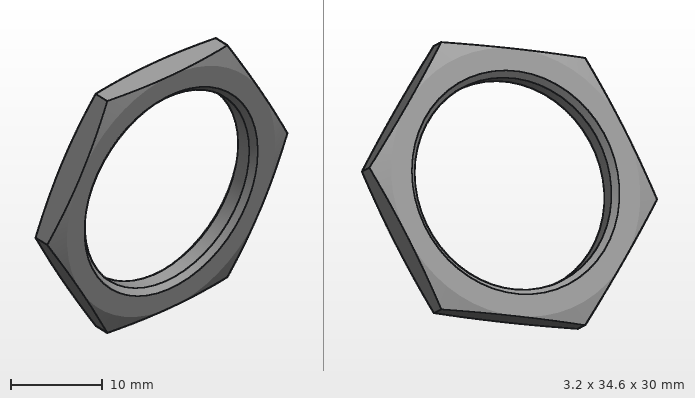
import cadquery as cq
import math

side_count = 6
across_flats = 30.0
thickness = 3.2
bore_diameter = 23.675
bore_mouth_diameter = 25.0
bore_chamfer_angle = 45.0
corner_bevel_angle = 15.0

flat_radius = across_flats / 2
corner_radius = flat_radius / math.cos(math.pi / side_count)
half_thickness = thickness / 2


def revolve_about_x(profile):
    """Revolve a closed outline of (x, radius) points about the X axis."""
    return cq.Workplane("XY").polyline(profile).close().revolve(360, (0, 0, 0), (1, 0, 0))


def hexagon_body():
    """Hexagonal plate with two corners on the Y axis and flats facing +Z and -Z."""
    return (
        cq.Workplane("YZ")
        .polygon(side_count, 2 * corner_radius)
        .extrude(half_thickness, both=True)
    )


def bevel_envelope():
    """Double cone that touches the flats at both faces and bevels the six corners."""
    bevel_depth = (corner_radius - flat_radius) * math.tan(math.radians(corner_bevel_angle))
    rim_half_width = half_thickness - bevel_depth
    profile = [
        (-half_thickness, 0),
        (-half_thickness, flat_radius),
        (-rim_half_width, corner_radius),
        (rim_half_width, corner_radius),
        (half_thickness, flat_radius),
        (half_thickness, 0),
    ]
    return revolve_about_x(profile)


def chamfered_bore():
    """Through bore that widens conically at both faces."""
    bore_radius = bore_diameter / 2
    mouth_radius = bore_mouth_diameter / 2
    chamfer_depth = (mouth_radius - bore_radius) / math.tan(math.radians(bore_chamfer_angle))
    straight_half_length = half_thickness - chamfer_depth
    profile = [
        (-half_thickness, 0),
        (-half_thickness, mouth_radius),
        (-straight_half_length, bore_radius),
        (straight_half_length, bore_radius),
        (half_thickness, mouth_radius),
        (half_thickness, 0),
    ]
    return revolve_about_x(profile)


result = hexagon_body().intersect(bevel_envelope()).cut(chamfered_bore())